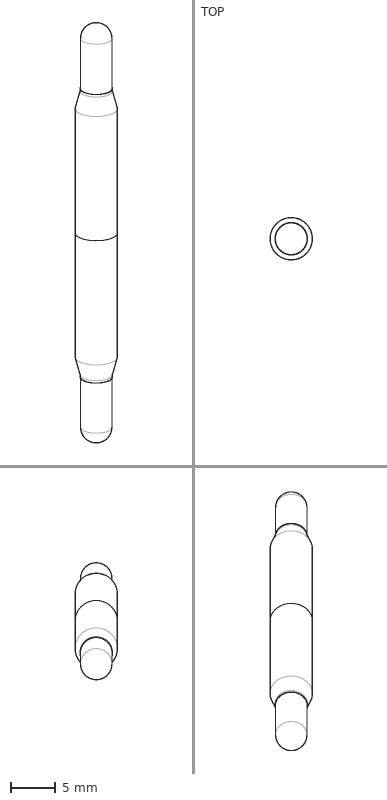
import cadquery as cq

total_length = 50.8
half_length = total_length / 2

sleeve_radius = 2.4
lip_radius = 1.85
lip_height = 0.3
taper_height = 2.15
lip_end_z = 17.55
taper_top_z = lip_end_z - lip_height
taper_base_z = taper_top_z - taper_height

pin_radius = 1.8
dome_start_z = half_length - pin_radius


def make_sleeve_half():
    """Upper sleeve half, from the middle plane to the lip, bored right through."""
    profile = (
        cq.Workplane("XZ")
        .moveTo(pin_radius, 0)
        .lineTo(sleeve_radius, 0)
        .lineTo(sleeve_radius, taper_base_z)
        .lineTo(lip_radius, taper_top_z)
        .lineTo(lip_radius, lip_end_z)
        .lineTo(pin_radius, lip_end_z)
        .close()
    )
    return profile.revolve(360, (0, 0), (0, 1))


def make_pin():
    """Upper pin, from the middle plane to its hemispherical tip."""
    bar = cq.Workplane("XY").circle(pin_radius).extrude(dome_start_z)
    dome = (
        cq.Workplane("XZ")
        .moveTo(0, dome_start_z)
        .lineTo(pin_radius, dome_start_z)
        .radiusArc((0, half_length), -pin_radius)
        .close()
        .revolve(360, (0, 0), (0, 1))
    )
    return bar.union(dome)


bodies = []
for turn in (0, 180):
    for make_body in (make_sleeve_half, make_pin):
        body = make_body().rotate((0, 0, 0), (1, 0, 0), turn)
        bodies.append(body.val())

result = cq.Compound.makeCompound(bodies)